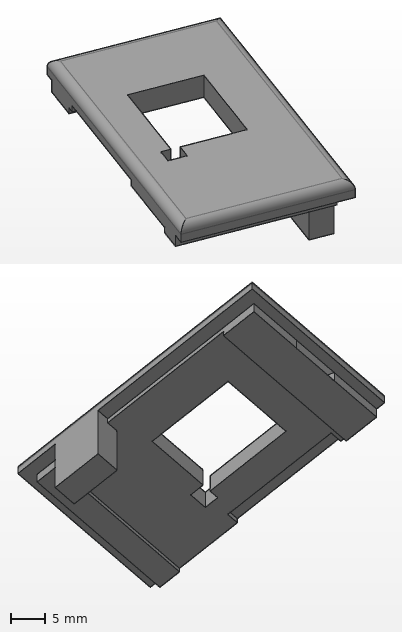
import cadquery as cq

length = 47.45
width = 28.0
overall_height = 14.05
plate_thickness = 2.9
edge_radius = 1.45

body_left = 1.6
body_right = 45.5
body_back = 25.95
body_floor = 3.95
left_rail_depth = 5.0
left_rail_end = 7.8
right_rail_depth = 4.85
right_rail_start = 41.5

relief_left = 8.85
relief_right = 29.8
relief_reach = 2.05

post_left = 31.2
post_right = 39.9
post_width = 4.05

window_left = 13.43
window_right = 28.8
window_front = 6.85
window_back = 19.05
slot_right = 31.3
slot_front = 5.2
slot_back = 8.3

pocket_front = 8.95
pocket_back = 17.0
pocket_depth = 0.95


def block(x_min, x_max, y_min, y_max, top_depth, bottom_depth):
    """Box between two depths below the top face."""
    size = (x_max - x_min, y_max - y_min, bottom_depth - top_depth)
    return cq.Workplane("XY").box(*size, centered=False).translate((x_min, y_min, -bottom_depth))


def make_plate():
    plate = block(0, length, 0, width, 0, plate_thickness)
    return plate.faces(">Z").edges().fillet(edge_radius)


def make_body():
    body = block(body_left, body_right, 0, body_back, plate_thickness, body_floor)
    left_rail = block(body_left, left_rail_end, 0, body_back, plate_thickness, left_rail_depth)
    right_rail = block(right_rail_start, body_right, 0, body_back, plate_thickness, right_rail_depth)
    rail_step = block(post_right, right_rail_start, width - post_width, body_back,
                      plate_thickness, right_rail_depth)
    return body.union(left_rail).union(right_rail).union(rail_step)


def make_catch_pocket():
    """Recess whose four sides slope inward to a horizontal ridge."""
    opening_height = left_rail_depth - plate_thickness
    ridge_inset = opening_height / 2
    mid_depth = (plate_thickness + left_rail_depth) / 2
    wedge = (
        cq.Workplane("XZ", origin=(0, pocket_front, 0))
        .polyline([
            (body_left, -plate_thickness),
            (body_left + pocket_depth, -mid_depth),
            (body_left, -left_rail_depth),
        ])
        .close()
        .extrude(pocket_front - pocket_back)
    )
    sloped_ends = (
        cq.Workplane("XY", origin=(0, 0, -left_rail_depth))
        .polyline([
            (body_left, pocket_front),
            (body_left + pocket_depth, pocket_front + ridge_inset),
            (body_left + pocket_depth, pocket_back - ridge_inset),
            (body_left, pocket_back),
        ])
        .close()
        .extrude(opening_height)
    )
    return wedge.intersect(sloped_ends)


post = block(post_left, post_right, width - post_width, width, plate_thickness, overall_height)
relief = block(relief_left, relief_right, 0, relief_reach, plate_thickness, body_floor)
window = block(window_left, window_right, window_front, window_back, 0, body_floor)
slot = block(window_right, slot_right, slot_front, slot_back, 0, body_floor)

result = make_plate().union(make_body()).union(post)
for cutter in (relief, window, slot, make_catch_pocket()):
    result = result.cut(cutter)